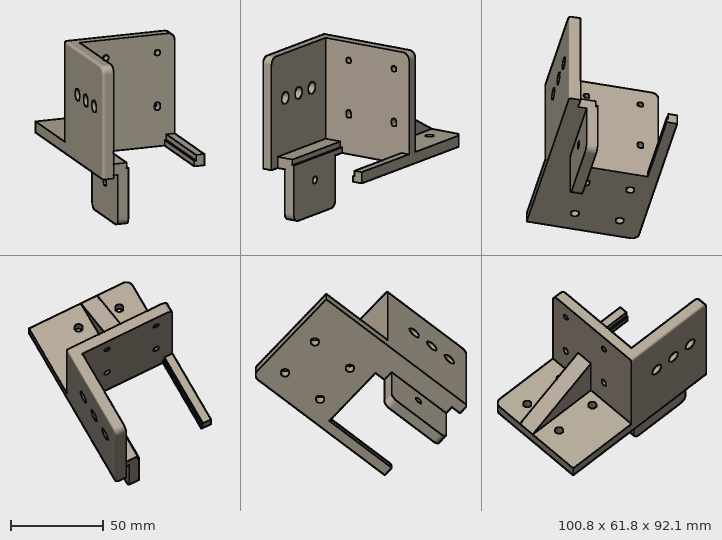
import cadquery as cq

length = 100.8
width = 61.8
total_height = 92.1
tab_drop = 28.9
wall_top = total_height - tab_drop

plate_thickness = 6.3
corner_radius = 4.0
edge_radius = 1.5

upright_x = 43.7
upright_thickness = 6.0
upright_back = upright_x + upright_thickness

rib_y = 31.8
rib_width = 10.1
rib_height = 24.0

tab_x = 56.0
tab_end = 95.0
tab_y = 11.1
tab_thickness = 6.1
tab_hole_x = 75.3
tab_hole_z = -9.4
tab_hole_diameter = 4.0

bar_end = 94.3
bar_width = 5.9
step_width = 1.0
step_height = plate_thickness / 2

base_hole_diameter = 4.5
base_hole_pitch = 25.0
base_hole_x = 12.3
base_hole_y = 24.0
side_hole_diameter = 6.6
side_hole_pitch = 12.5
side_hole_z = 37.9
upright_hole_diameter = 3.2
upright_hole_y = (21.7, 51.7)
upright_hole_z = 52.9
slot_z = 22.7
slot_length = 4.4


def block(x0, x1, y0, y1, z0, z1):
    """Axis-aligned block between two opposite corners."""
    return cq.Workplane("XY").box(x1 - x0, y1 - y0, z1 - z0, centered=False).translate((x0, y0, z0))


def y_hole(x, z, diameter):
    """Cutter along Y through the full width."""
    return cq.Workplane("XZ").center(x, z).circle(diameter / 2).extrude(-width)


def make_base():
    base = block(0, upright_back, 0, width, 0, plate_thickness)
    return base.edges("|Z and <X and >Y").fillet(corner_radius)


def make_walls():
    """Upright and side plate, with one rounded rim along their outer edge."""
    upright = block(upright_x, upright_back, 0, width, 0, wall_top)
    upright = upright.edges("|X and >Y and >Z").fillet(corner_radius)
    side = block(upright_x, length, 0, plate_thickness, 0, wall_top)
    side = side.edges("|Y and >X and >Z").fillet(corner_radius)
    walls = upright.union(side).clean()
    rim_start = cq.selectors.NearestToPointSelector((length / 2 + upright_x / 2, 0, wall_top))
    rim_corner = cq.selectors.NearestToPointSelector((length, 0, wall_top))
    rim_end = cq.selectors.NearestToPointSelector((length, 0, wall_top / 2))
    return walls.edges(rim_start + rim_corner + rim_end).fillet(edge_radius)


def make_rib():
    rib_top = plate_thickness + rib_height
    outline = [(0, plate_thickness), (upright_x, plate_thickness), (upright_x, rib_top)]
    rib = cq.Workplane("XZ").polyline(outline).close().extrude(-rib_width)
    return rib.translate((0, rib_y, 0))


def make_tab():
    tab_back = tab_y + tab_thickness
    tab = block(tab_x, tab_end, tab_y, tab_back, -tab_drop, step_height)
    tab = tab.edges("|Y and <Z").fillet(corner_radius)
    tab = tab.cut(y_hole(tab_hole_x, tab_hole_z, tab_hole_diameter))
    lower = block(upright_back, tab_end, plate_thickness, tab_back, 0, step_height)
    upper = block(upright_back, tab_end, plate_thickness, tab_back - step_width, 0, plate_thickness)
    return tab.union(lower).union(upper)


def make_far_bar():
    bar_y = width - bar_width
    lower = block(upright_back, bar_end, bar_y, width, 0, step_height)
    upper = block(upright_back, bar_end, bar_y + step_width, width, 0, plate_thickness)
    return lower.union(upper)


def cut_holes(body):
    for column in range(2):
        for row in range(2):
            x = base_hole_x + column * base_hole_pitch
            y = base_hole_y + row * base_hole_pitch
            hole = cq.Workplane("XY").center(x, y).circle(base_hole_diameter / 2)
            body = body.cut(hole.extrude(plate_thickness))

    for index in (-1, 0, 1):
        body = body.cut(y_hole(tab_hole_x + index * side_hole_pitch, side_hole_z, side_hole_diameter))

    for y in upright_hole_y:
        hole = cq.Workplane("YZ").center(y, upright_hole_z).circle(upright_hole_diameter / 2)
        slot = cq.Workplane("YZ").center(y, slot_z).slot2D(slot_length, upright_hole_diameter, 90)
        for outline in (hole, slot):
            body = body.cut(outline.extrude(upright_thickness).translate((upright_x, 0, 0)))
    return body


body = make_base().union(make_walls())
for feature in (make_rib(), make_tab(), make_far_bar()):
    body = body.union(feature)
result = cut_holes(body)